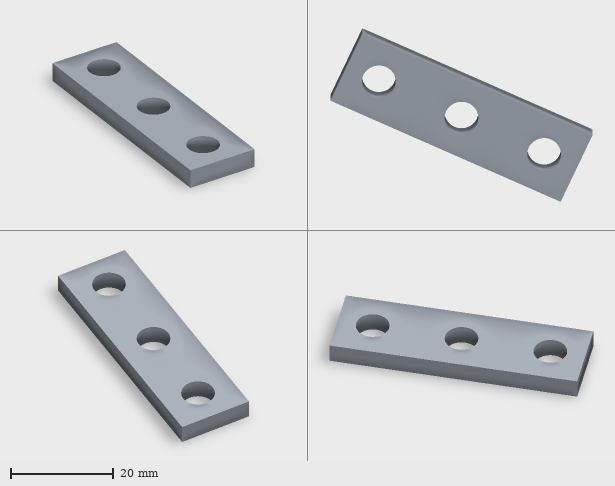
import cadquery as cq

length = 49.6
width = 15.0
thickness = 4.0
hole_diameter = 6.6
hole_spacing = 17.8

hole_centres = [(-hole_spacing, 0), (0, 0), (hole_spacing, 0)]


def make_plate():
    """Flat rectangular bar with its bottom face on Z = 0."""
    return cq.Workplane("XY").box(length, width, thickness, centered=(True, True, False))


def drill_holes(plate):
    """Plain through holes in a row along X."""
    return plate.faces(">Z").workplane().pushPoints(hole_centres).hole(hole_diameter)


result = drill_holes(make_plate())